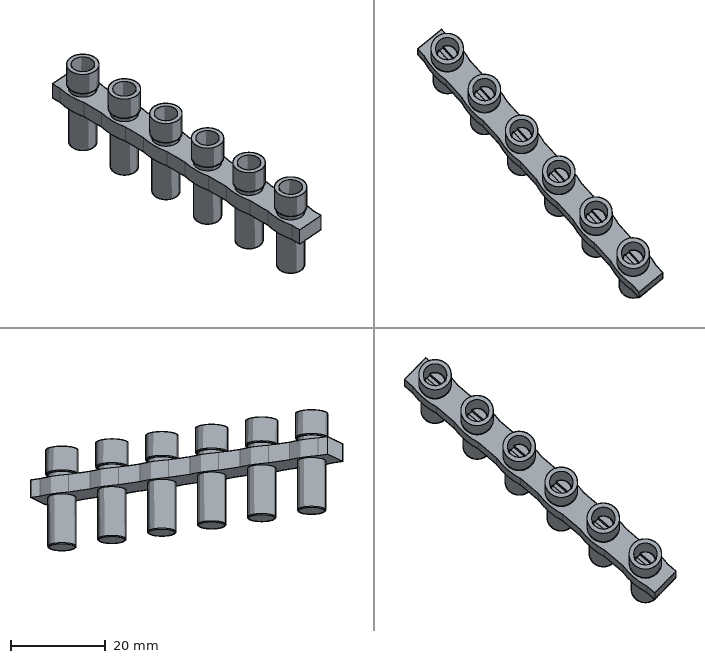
import cadquery as cq

bar_length = 71.4
bar_width = 6.65
bar_thickness = 3.85
bulge_chord = 6.85
overall_width = 7.4

terminal_count = 6
terminal_pitch = 12.0

overall_height = 21.2
head_diameter = 6.85
head_height = 5.4
head_chamfer = 0.2
shank_diameter = 6.0
shank_length = 10.85
shank_chamfer = 0.2

bore_mouth_diameter = 4.9
bore_floor_diameter = 4.2
bore_depth = 5.3
screw_diameter = 4.6
screw_chamfer = 0.2
slot_width = 1.15
slot_depth = 1.0

barrel_bottom = -shank_length
barrel_top = barrel_bottom + overall_height
head_bottom = barrel_top - head_height
bore_floor = barrel_top - bore_depth
screw_top = bore_floor + slot_depth

first_terminal = -terminal_pitch * (terminal_count - 1) / 2
terminal_places = [first_terminal + i * terminal_pitch for i in range(terminal_count)]


def cylinder(diameter, bottom, top):
    """Upright cylinder on the Z axis between two heights."""
    return cq.Workplane("XY", origin=(0, 0, bottom)).circle(diameter / 2).extrude(top - bottom)


def bulged_edge(outline, places, side):
    """Continue the outline along one long edge, bowing outwards at each terminal.

    side is -1 for the front edge, drawn towards +X, and 1 for the back edge, drawn towards -X.
    """
    step_to_centre = -side * bulge_chord / 2
    edge_y = side * bar_width / 2
    crest_y = side * overall_width / 2
    for x in places:
        outline = outline.lineTo(x - step_to_centre, edge_y)
        outline = outline.threePointArc((x, crest_y), (x + step_to_centre, edge_y))
    return outline


def make_bar():
    """Flat bar whose long sides bulge around each terminal."""
    half_length = bar_length / 2
    half_width = bar_width / 2
    outline = cq.Workplane("XY").moveTo(-half_length, -half_width)
    outline = bulged_edge(outline, terminal_places, -1)
    outline = outline.lineTo(half_length, -half_width).lineTo(half_length, half_width)
    outline = bulged_edge(outline, reversed(terminal_places), 1)
    outline = outline.lineTo(-half_length, half_width).close()
    return outline.extrude(bar_thickness)


def make_barrel():
    """Shank running up through the bar into a wider head."""
    shank = cylinder(shank_diameter, barrel_bottom, barrel_top)
    shank = shank.faces("<Z").chamfer(shank_chamfer)
    head = cylinder(head_diameter, head_bottom, barrel_top)
    head = head.faces("<Z").chamfer(head_chamfer)
    return shank.union(head)


def make_slotted_bore():
    """Space to remove from a barrel: the tapered bore, less the screw head that fills its lower end.

    The screw overlaps the bore wall, so only its chamfer leaves a groove around it.
    """
    bore = (
        cq.Workplane("XY", origin=(0, 0, bore_floor))
        .circle(bore_floor_diameter / 2)
        .workplane(offset=bore_depth)
        .circle(bore_mouth_diameter / 2)
        .loft(ruled=True)
    )
    slot = (
        cq.Workplane("XY", origin=(0, 0, bore_floor))
        .rect(bore_mouth_diameter, slot_width)
        .extrude(slot_depth)
    )
    screw = cylinder(screw_diameter, bore_floor, screw_top).faces(">Z").chamfer(screw_chamfer)
    return bore.cut(screw.cut(slot))


barrel = make_barrel()
slotted_bore = make_slotted_bore()

result = make_bar()
for x in terminal_places:
    result = result.union(barrel.translate((x, 0, 0)))
for x in terminal_places:
    result = result.cut(slotted_bore.translate((x, 0, 0)))